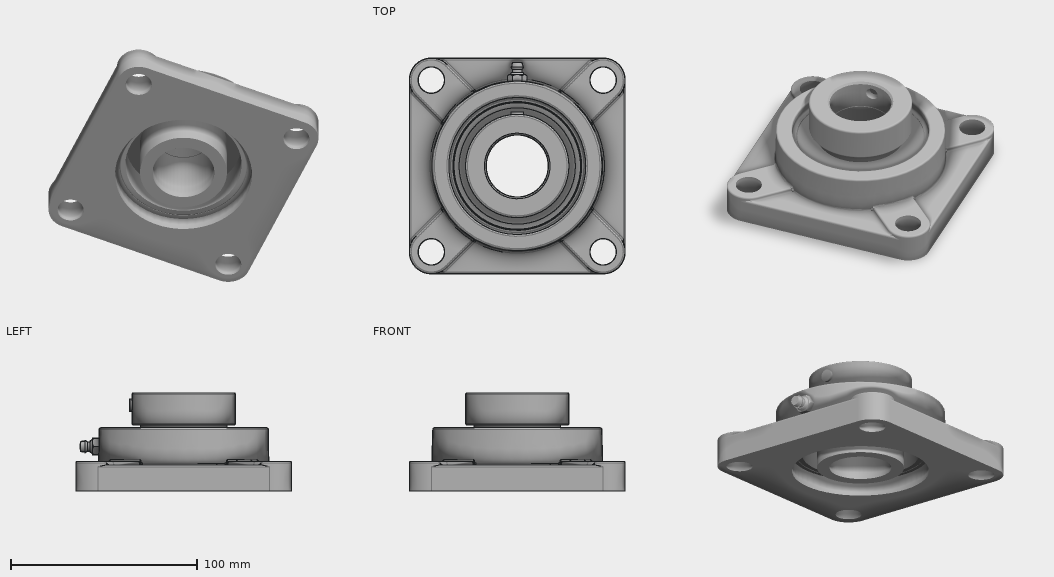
import cadquery as cq
import math

EDGE_ROUND = 1.0

FLANGE_SIDE = 116.0
FLANGE_TOP = 14.0
CORNER_RADIUS = 11.8
BOLT_HOLE_DIA = 14.0
BOLT_OFFSET = FLANGE_SIDE / 2 - CORNER_RADIUS
PAD_TOP = FLANGE_TOP + 2 * EDGE_ROUND
BOSS_BASE_RADIUS = 45.9
BOSS_TOP_RADIUS = 45.5
BOSS_TOP = 34.1
COUNTERBORE_DIA = 73.7

BEARING_CENTRE = 19.1
RING_HALF_WIDTH = 10.2
RING_TOP = BEARING_CENTRE + RING_HALF_WIDTH
SEAT_RADIUS = 36.0
RING_EDGE_BREAK = 0.5
RING_BORE_DIA = 62.5
INNER_RING_DIA = 46.7
INNER_RING_BOTTOM = 1.7
SHAFT_DIA = 33.3
SEAL_THICKNESS = 2.0
SEAL_RISE = 0.2

COLLAR_DIA = 55.6
COLLAR_TOP = 52.9
COLLAR_HEIGHT = 17.4
COLLAR_BOTTOM = COLLAR_TOP - COLLAR_HEIGHT
COLLAR_OVERLAP = 1.7
SCREW_DIA = 6.7
SCREW_Z = 46.3
SCREW_TIP_Y = 20.9
SCREW_END_Y = 29.1

NIPPLE_Z = 24.0
STUD_DIA = 6.0
STUD_START_Y = 39.4
HEX_FLATS = 8.9
HEX_BASE_Y = 45.2
HEX_END_Y = 49.1
HEX_CHAMFER = 0.6
CONE_BASE_RADIUS = 4.0
CONE_END_RADIUS = 3.0
CONE_END_Y = 50.3
NECK_RADIUS = 2.5
NECK_END_Y = 51.7
RIM_RADIUS = 3.4
RIM_Y = 53.1
HEAD_RADIUS = 3.0
HEAD_END_Y = 55.6
HEAD_CROWN_RADIUS = 2.9
HEAD_END_RADIUS = 2.5
TIP_RADIUS = 1.3
TIP_END_Y = 55.7


def cylinder(diameter, bottom, top):
    return cq.Workplane("XY").workplane(offset=bottom).circle(diameter / 2).extrude(top - bottom)


def tube(outer_dia, inner_dia, bottom, top):
    return cylinder(outer_dia, bottom, top).cut(cylinder(inner_dia, bottom, top))


def rounded_square(inset, height):
    """Flange outline moved in by `inset` and extruded up from the mounting face."""
    side = FLANGE_SIDE - 2 * inset
    return (
        cq.Workplane("XY")
        .rect(side, side)
        .extrude(height)
        .edges("|Z")
        .fillet(CORNER_RADIUS - inset)
    )


def at_bolts(radius):
    """Upright cylinders about the four bolt axes, as tall as the pads."""
    return (
        cq.Workplane("XY")
        .rect(2 * BOLT_OFFSET, 2 * BOLT_OFFSET, forConstruction=True)
        .vertices()
        .circle(radius)
        .extrude(PAD_TOP)
    )


def pad_half_section(cove_radius):
    """Half section of a bolt pad with its rounded top; a foot of `cove_radius` meets the flange."""
    side_z = FLANGE_TOP + EDGE_ROUND
    top_edge = CORNER_RADIUS - EDGE_ROUND
    cove_foot = CORNER_RADIUS + cove_radius
    sketch = cq.Workplane("XZ").lineTo(cove_foot, 0)
    if cove_radius > 0:
        sketch = sketch.lineTo(cove_foot, FLANGE_TOP)
        sketch = sketch.radiusArc((CORNER_RADIUS, side_z), cove_radius)
    else:
        sketch = sketch.lineTo(CORNER_RADIUS, side_z)
    sketch = sketch.radiusArc((top_edge, PAD_TOP), -EDGE_ROUND)
    return sketch.lineTo(0, PAD_TOP).close()


def bolt_pad(angle, cove_radius):
    """Pad that runs from the housing axis to a bolt and ends in a half round about it."""
    reach = BOLT_OFFSET * math.sqrt(2)
    half_arm = pad_half_section(cove_radius).extrude(-reach)
    arm = half_arm.union(half_arm.mirror("YZ"))
    end = (
        pad_half_section(cove_radius)
        .revolve(360, (0, 0, 0), (0, 1, 0))
        .translate((0, reach, 0))
    )
    return arm.union(end).rotate((0, 0, 0), (0, 0, 1), angle)


def boss_cove(foot_z):
    """Ring about the foot of the boss that coves from height `foot_z` up into its tapered wall."""
    foot_radius = BOSS_BASE_RADIUS + EDGE_ROUND
    inner_radius = BOSS_TOP_RADIUS - EDGE_ROUND
    cove_top = foot_z + EDGE_ROUND
    taper = (BOSS_BASE_RADIUS - BOSS_TOP_RADIUS) / (BOSS_TOP - FLANGE_TOP)
    boss_radius = BOSS_BASE_RADIUS - taper * (cove_top - FLANGE_TOP)
    middle = EDGE_ROUND * (1 - math.sqrt(0.5))
    return (
        cq.Workplane("XZ")
        .moveTo(inner_radius, 0)
        .lineTo(foot_radius, 0)
        .lineTo(foot_radius, foot_z)
        .threePointArc((boss_radius + middle, foot_z + middle), (boss_radius, cove_top))
        .lineTo(inner_radius, cove_top)
        .close()
        .revolve(360, (0, 0, 0), (0, 1, 0))
    )


def upper_counterbore():
    """Round space above the bearing, with a rounded corner at its floor."""
    return cylinder(COUNTERBORE_DIA, RING_TOP, BOSS_TOP).faces("<Z").edges().fillet(EDGE_ROUND)


def tapered_boss():
    """Tapered boss, bored above the bearing, with both top rims rounded."""
    solid_boss = (
        cq.Workplane("XZ")
        .lineTo(BOSS_BASE_RADIUS, 0)
        .lineTo(BOSS_BASE_RADIUS, FLANGE_TOP)
        .lineTo(BOSS_TOP_RADIUS, BOSS_TOP)
        .lineTo(0, BOSS_TOP)
        .close()
        .revolve(360, (0, 0, 0), (0, 1, 0))
    )
    bored = solid_boss.cut(upper_counterbore())
    return bored.faces(">Z").edges().fillet(EDGE_ROUND)


def bearing_cavity():
    """Spherical seat that opens into a counterbore above and below."""
    seat = cq.Workplane("XY").sphere(SEAT_RADIUS).translate((0, 0, BEARING_CENTRE))
    lower = cylinder(COUNTERBORE_DIA, 0, BEARING_CENTRE - RING_HALF_WIDTH)
    return seat.union(upper_counterbore()).union(lower)


def make_housing(nipple):
    """Flange, boss and four coved pads, with the bearing, bolts and nipple cut out."""
    flange = rounded_square(0, FLANGE_TOP).faces(">Z").edges().fillet(EDGE_ROUND)
    body = flange.union(tapered_boss()).union(boss_cove(FLANGE_TOP))
    inside_edges = rounded_square(EDGE_ROUND, PAD_TOP)
    raised_cove = boss_cove(PAD_TOP)
    for quarter in range(4):
        angle = 45 + 90 * quarter
        coved_pad = bolt_pad(angle, EDGE_ROUND)
        pad_cove = raised_cove.intersect(coved_pad.translate((0, 0, EDGE_ROUND)))
        body = body.union(coved_pad.intersect(inside_edges)).union(pad_cove)
        body = body.union(bolt_pad(angle, 0))
    return body.cut(bearing_cavity()).cut(at_bolts(BOLT_HOLE_DIA / 2)).cut(nipple)


def make_outer_ring():
    band = tube(2 * SEAT_RADIUS, RING_BORE_DIA, BEARING_CENTRE - RING_HALF_WIDTH, RING_TOP)
    ball = cq.Workplane("XY").sphere(SEAT_RADIUS).translate((0, 0, BEARING_CENTRE))
    rims = cq.selectors.RadiusNthSelector(-1)
    ring = band.intersect(ball)
    return ring.faces(">Z or <Z").edges(rims).chamfer(RING_EDGE_BREAK)


def make_seal():
    """Shallow conical disc that closes the gap between the two rings at the top."""
    rim_radius = RING_BORE_DIA / 2
    inner_radius = INNER_RING_DIA / 2
    return (
        cq.Workplane("XZ")
        .moveTo(inner_radius, RING_TOP - SEAL_THICKNESS)
        .lineTo(rim_radius, RING_TOP - SEAL_THICKNESS)
        .lineTo(rim_radius, RING_TOP)
        .lineTo(inner_radius, RING_TOP + SEAL_RISE)
        .close()
        .revolve(360, (0, 0, 0), (0, 1, 0))
    )


def make_inner_ring():
    ring = tube(INNER_RING_DIA, SHAFT_DIA, INNER_RING_BOTTOM, COLLAR_BOTTOM + COLLAR_OVERLAP)
    bore_edge = cq.selectors.RadiusNthSelector(0)
    return ring.faces(">Z").edges(bore_edge).chamfer(RING_EDGE_BREAK)


def make_screw():
    return (
        cq.Workplane("XZ", origin=(0, SCREW_TIP_Y, SCREW_Z))
        .circle(SCREW_DIA / 2)
        .extrude(SCREW_TIP_Y - SCREW_END_Y)
    )


def make_collar():
    body = cylinder(COLLAR_DIA, COLLAR_BOTTOM, COLLAR_TOP).edges().fillet(EDGE_ROUND)
    body = body.cut(cylinder(SHAFT_DIA, COLLAR_BOTTOM, COLLAR_TOP))
    body = body.faces(">Z").edges(cq.selectors.RadiusNthSelector(0)).chamfer(EDGE_ROUND)
    socket = cylinder(INNER_RING_DIA, COLLAR_BOTTOM, COLLAR_BOTTOM + COLLAR_OVERLAP)
    screw_hole = cq.Workplane("XZ", origin=(0, 0, SCREW_Z)).circle(SCREW_DIA / 2).extrude(-COLLAR_DIA)
    return body.cut(socket).cut(screw_hole)


def make_nipple():
    corner_dia = HEX_FLATS / math.cos(math.pi / 6)
    hex_length = HEX_END_Y - HEX_BASE_Y
    base = cq.Workplane("XZ", origin=(0, HEX_BASE_Y, NIPPLE_Z))
    corner_trim = base.circle(corner_dia / 2).extrude(-hex_length).faces(">Y").chamfer(HEX_CHAMFER)
    hexagon = base.polygon(6, corner_dia).extrude(-hex_length).intersect(corner_trim)
    head_middle_y = (RIM_Y + HEAD_END_Y) / 2
    turned = (
        cq.Workplane("XY")
        .moveTo(0, STUD_START_Y)
        .lineTo(STUD_DIA / 2, STUD_START_Y)
        .lineTo(STUD_DIA / 2, HEX_END_Y)
        .lineTo(CONE_BASE_RADIUS, HEX_END_Y)
        .lineTo(CONE_END_RADIUS, CONE_END_Y)
        .lineTo(NECK_RADIUS, CONE_END_Y)
        .lineTo(NECK_RADIUS, NECK_END_Y)
        .lineTo(RIM_RADIUS, RIM_Y)
        .lineTo(HEAD_RADIUS, RIM_Y)
        .threePointArc((HEAD_CROWN_RADIUS, head_middle_y), (HEAD_END_RADIUS, HEAD_END_Y))
        .lineTo(TIP_RADIUS, HEAD_END_Y)
        .lineTo(TIP_RADIUS, TIP_END_Y)
        .lineTo(0, TIP_END_Y)
        .close()
        .revolve(360, (0, 0, 0), (0, 1, 0))
        .translate((0, 0, NIPPLE_Z))
    )
    return hexagon.union(turned)


nipple = make_nipple()
housing = make_housing(nipple)
outer_ring = make_outer_ring()
seal = make_seal()
inner_ring = make_inner_ring()
collar = make_collar()
screw = make_screw()

bodies = [housing, outer_ring, seal, inner_ring, collar, screw, nipple]
result = cq.Compound.makeCompound([body.val() for body in bodies])